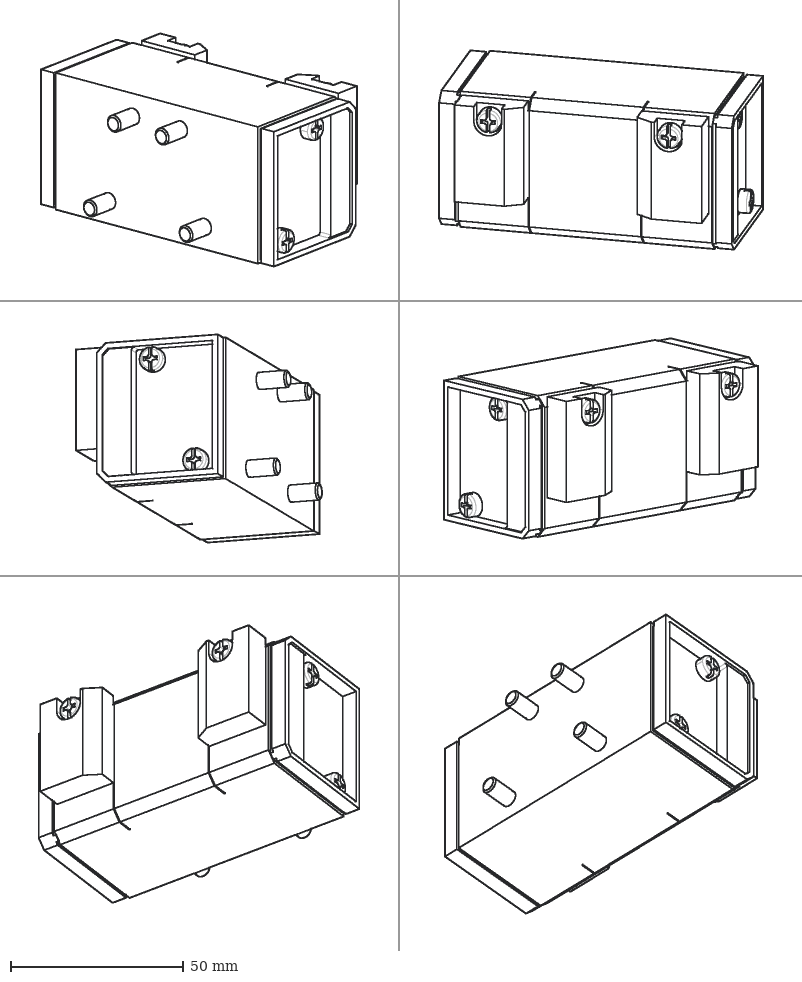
import cadquery as cq
import math


body_length = 76.0
body_depth = 38.0
body_height = 42.0
corner_chamfer = 3.0

neck_length = 1.0
neck_inset = 1.0
cap_length = 4.8
cap_inset = 0.3
rim_inset = 2.0
shallow_recess_depth = 0.8
deep_recess_end_y = 27.2
deep_recess_radius = 0.8

head_diameter = 7.0
head_height = 3.3
head_rounding = 0.7
drive_width = 1.0
drive_depth = 2.0
cross_length = 4.2
cross_corner_radius = 0.7
cap_screw_z = body_height / 2 - rim_inset - head_diameter / 2
upper_cap_screw_y = 21.7
lower_cap_screw_y = 8.3
cap_screw_centres = [(upper_cap_screw_y, cap_screw_z), (lower_cap_screw_y, -cap_screw_z)]

clamp_width = 20.0
clamp_thickness = 8.5
clamp_height = 30.0
clamp_centre_x = 27.0
clamp_bevel_width = 5.0
clamp_bevel_angle = 30.0
pocket_width = 8.3
pocket_depth = 3.6
clamp_screw_drop = 4.5

slit_width = 0.3
slit_depth = 8.0

pin_diameter = 5.0
pin_length = 9.0
pin_chamfer = 0.5
pin_z = 13.97
upper_pin_x = 9.0
lower_pin_x = 2 * upper_pin_x
pin_centres = [
    (-upper_pin_x, pin_z),
    (upper_pin_x, pin_z),
    (-lower_pin_x, -pin_z),
    (lower_pin_x, -pin_z),
]


def section_prism(side_inset, chamfer_inset, x_start, length):
    """Body cross-section with its sides and chamfers moved inward, extruded along +X from `x_start`."""
    y_front = side_inset
    y_rear = body_depth - side_inset
    z_top = body_height / 2 - side_inset
    chamfer = corner_chamfer - 2 * side_inset + math.sqrt(2) * chamfer_inset
    outline = [
        (y_front, -z_top),
        (y_rear - chamfer, -z_top),
        (y_rear, -z_top + chamfer),
        (y_rear, z_top - chamfer),
        (y_rear - chamfer, z_top),
        (y_front, z_top),
    ]
    return cq.Workplane("YZ", origin=(x_start, 0, 0)).polyline(outline).close().extrude(length)


def make_screw_head():
    """Screw head standing on the XY plane, with its slot along Y."""
    head = cq.Workplane("XY").circle(head_diameter / 2).extrude(head_height)
    head = head.faces(">Z").edges().fillet(head_rounding)
    drive_floor = cq.Workplane("XY", origin=(0, 0, head_height - drive_depth))
    slot = drive_floor.rect(drive_width, head_diameter).extrude(drive_depth)
    cross_arm = drive_floor.rect(cross_length, drive_width).extrude(drive_depth)
    drive = slot.union(cross_arm)
    inner_corners = cq.selectors.BoxSelector(
        (-drive_width, -drive_width, 0), (drive_width, drive_width, head_height)
    )
    drive = drive.edges("|Z").edges(inner_corners).fillet(cross_corner_radius)
    return head.cut(drive)


def make_left_cap():
    """Neck, recessed cap and cap screws at the -X end."""
    neck_x = -body_length / 2 - neck_length
    cap_x = neck_x - cap_length

    cap = section_prism(cap_inset, cap_inset, cap_x, cap_length)
    cap = cap.union(section_prism(neck_inset, cap_inset, neck_x, neck_length))
    cap = cap.cut(section_prism(rim_inset, rim_inset, cap_x, shallow_recess_depth))

    recess_height = body_height - 2 * rim_inset
    recess_width = deep_recess_end_y - rim_inset
    recess = cq.Workplane("XY").box(
        cap_length, recess_width, recess_height, centered=(False, False, True)
    )
    recess = recess.edges("|X and >Y").fillet(deep_recess_radius)
    cap = cap.cut(recess.translate((cap_x, rim_inset, 0)))

    for y, z in cap_screw_centres:
        head = make_screw_head().rotate((0, 0, 0), (0, 1, 0), -90)
        head = head.rotate((0, 0, 0), (1, 0, 0), 90)
        cap = cap.union(head.translate((neck_x, y, z)))
    return cap


def make_left_clamp():
    """Clamp block at the -X side, with its screw head sunk in a pocket open at the top."""
    x_outer = -clamp_centre_x - clamp_width / 2
    x_inner = x_outer + clamp_width
    y_rear = body_depth + clamp_thickness
    z_top = body_height / 2
    bevel_depth = clamp_bevel_width * math.tan(math.radians(clamp_bevel_angle))
    outline = [
        (x_outer, body_depth),
        (x_inner, body_depth),
        (x_inner, y_rear - bevel_depth),
        (x_inner - clamp_bevel_width, y_rear),
        (x_outer, y_rear),
    ]
    base = cq.Workplane("XY", origin=(0, 0, z_top - clamp_height))
    clamp = base.polyline(outline).close().extrude(clamp_height)

    screw_z = z_top - clamp_screw_drop
    pocket_floor_y = y_rear - pocket_depth
    pocket_plane = cq.Workplane("XZ", origin=(-clamp_centre_x, y_rear, screw_z))
    pocket = pocket_plane.circle(pocket_width / 2).extrude(pocket_depth)
    opening = (
        pocket_plane.center(0, clamp_screw_drop / 2)
        .rect(pocket_width, clamp_screw_drop)
        .extrude(pocket_depth)
    )
    head = make_screw_head().rotate((0, 0, 0), (1, 0, 0), -90)
    head = head.translate((-clamp_centre_x, pocket_floor_y, screw_z))
    return clamp.cut(pocket).cut(opening).union(head)


def make_left_slit():
    """Narrow slit over the full height of the rear face, next to the clamp."""
    x_start = -clamp_centre_x + clamp_width / 2
    slit = cq.Workplane("XY").box(slit_width, slit_depth, body_height, centered=(False, False, True))
    return slit.translate((x_start, body_depth - slit_depth, 0))


def make_pins():
    """Chamfered pins standing out of the front face."""
    pins = cq.Workplane("XZ").pushPoints(pin_centres)
    pins = pins.circle(pin_diameter / 2).extrude(pin_length)
    return pins.faces("<Y").edges().chamfer(pin_chamfer)


def with_mirror(feature):
    """The feature together with its mirror image at the +X end."""
    return feature.union(feature.mirror("YZ"))


body = section_prism(0, 0, -body_length / 2, body_length)
body = body.cut(with_mirror(make_left_slit()))
result = (
    body.union(with_mirror(make_left_clamp()))
    .union(with_mirror(make_left_cap()))
    .union(make_pins())
)